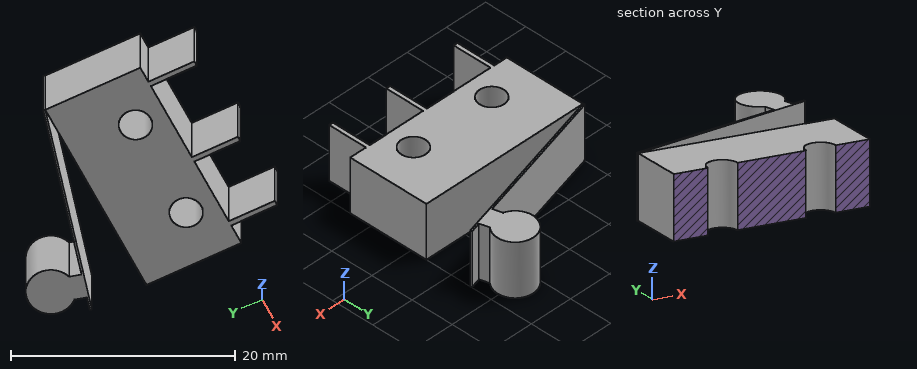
import cadquery as cq
import math

height = 6.4

housing_length = 20.0
housing_depth = 9.5

hole_diameter = 3.0
hole_spacing = 10.0
hole_from_front = 3.0

terminal_thickness = 0.5
terminal_length = 4.6
terminal_centres_x = (1.85, 10.45, 17.75)

lever_rise = 5.45
lever_angle = math.degrees(math.atan2(lever_rise, housing_length))
lever_thickness = 0.2
lever_length = math.hypot(housing_length, lever_rise)

tip_diameter = 4.5
tip_along_lever = 18.264
tip_above_lever = 3.23
stem_width = 2.4


def plan_box(size_x, size_y):
    """Full-height block with its low X, Y and Z corner at the origin."""
    return cq.Workplane("XY").box(size_x, size_y, height, centered=False)


def make_housing():
    """Block with two through holes and the terminals that stand out of its front face."""
    body = plan_box(housing_length, housing_depth).translate((0, -housing_depth, 0))

    for centre_x in terminal_centres_x:
        terminal = plan_box(terminal_thickness, terminal_length)
        terminal_corner = (centre_x - terminal_thickness / 2, -housing_depth - terminal_length, 0)
        body = body.union(terminal.translate(terminal_corner))

    hole_y = hole_from_front - housing_depth
    hole_centres = [(housing_length / 2 + side * hole_spacing / 2, hole_y) for side in (-1, 1)]
    holes = cq.Workplane("XY").pushPoints(hole_centres).circle(hole_diameter / 2).extrude(height)
    return body.cut(holes)


def make_lever():
    """Blade, stem and round tip, built flat along X and then swung up about the housing corner."""
    blade = plan_box(lever_length, lever_thickness)
    stem = plan_box(stem_width, tip_above_lever).translate((tip_along_lever - stem_width / 2, 0, 0))
    tip = (
        cq.Workplane("XY")
        .center(tip_along_lever, tip_above_lever)
        .circle(tip_diameter / 2)
        .extrude(height)
    )
    return blade.union(stem).union(tip).rotate((0, 0, 0), (0, 0, 1), lever_angle)


housing = make_housing()
lever = make_lever()

result = cq.Compound.makeCompound([housing.solids().val(), lever.solids().val()])